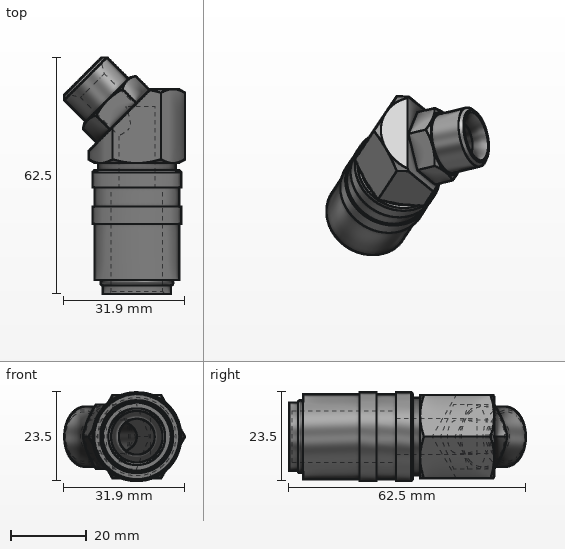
import cadquery as cq
import math

nose_radius = 9.05
nose_end = 2.25
ring_radius = 9.6
ring_round = 0.7
ring_end = 3.7
sleeve_radius = 11.25
band_radius = 11.75
lower_band = (18.5, 23.05)
upper_band_start = 28.1
sleeve_end = 32.7
sleeve_chamfer = 0.55
neck_radius = 10.3

block_start = 34.55
block_end = 54.1
block_flats = 22.05

elbow_y = 43.3
elbow_angle = 45
outlet_hex_start = 5.05
outlet_hex_end = 11.05
outlet_hex_flats = 17.05
outlet_radius = 8.0
outlet_end = 20.05
outlet_chamfer = 0.95

socket_bore_radius = 6.8
socket_bore_depth = upper_band_start
socket_mouth_chamfer = 0.7
inlet_radius = 4.75
inlet_end = 49.55
outlet_bore_radius = 4.45
outlet_mouth_radius = 6.5
outlet_cone_depth = 3.5

hex_chamfer_angle = 30


def rod(radius, start, end):
    """Round bar along Z between two heights."""
    return cq.Workplane("XY").workplane(offset=start).circle(radius).extrude(end - start)


def hex_bar(flats, start, end, chamfer_start):
    """Hexagonal bar along Z, corners on X, with turned chamfers at its end and optionally its start."""
    corner_radius = flats / math.sqrt(3)
    flat_radius = flats / 2
    drop = (corner_radius - flat_radius) * math.tan(math.radians(hex_chamfer_angle))
    bar = cq.Workplane("XY").workplane(offset=start).polygon(6, 2 * corner_radius).extrude(end - start)
    outline = cq.Workplane("XZ").moveTo(0, start)
    if chamfer_start:
        outline = outline.lineTo(flat_radius, start).lineTo(corner_radius, start + drop)
    else:
        outline = outline.lineTo(corner_radius, start)
    outline = outline.lineTo(corner_radius, end - drop).lineTo(flat_radius, end).lineTo(0, end)
    envelope = outline.close().revolve(360, (0, 0), (0, 1))
    return bar.intersect(envelope)


def along_socket(shape):
    """Turn a shape built along +Z so that it runs along +Y."""
    return shape.rotate((0, 0, 0), (1, 0, 0), -90)


def along_outlet(shape):
    """Place a shape built along +Z on the outlet axis."""
    turned = along_socket(shape).rotate((0, 0, 0), (0, 0, 1), elbow_angle)
    return turned.translate((0, elbow_y, 0))


def socket_body():
    body = rod(nose_radius, 0, nose_end)
    body = body.union(rod(ring_radius, nose_end, ring_end).edges().fillet(ring_round))
    body = body.union(rod(sleeve_radius, ring_end, sleeve_end - sleeve_chamfer))
    body = body.union(rod(band_radius, *lower_band))
    upper_band = rod(band_radius, upper_band_start, sleeve_end)
    body = body.union(upper_band.faces(">Z").edges().chamfer(sleeve_chamfer))
    return along_socket(body.union(rod(neck_radius, sleeve_end, block_start)))


def elbow_block():
    block = along_socket(hex_bar(block_flats, block_start, block_end, chamfer_start=True))
    cutter_size = 4 * block_flats
    beyond_outlet_face = cq.Workplane("XY").box(
        cutter_size, cutter_size, cutter_size, centered=(True, True, False)
    ).translate((0, 0, outlet_hex_start))
    return block.cut(along_outlet(beyond_outlet_face))


def outlet_body():
    hexagon = hex_bar(outlet_hex_flats, outlet_hex_start, outlet_hex_end, chamfer_start=False)
    pipe = rod(outlet_radius, outlet_hex_start, outlet_end)
    pipe = pipe.faces(">Z").edges().chamfer(outlet_chamfer)
    return along_outlet(hexagon.union(pipe))


def socket_bore():
    bore = rod(socket_bore_radius, 0, socket_bore_depth)
    mouth = (
        cq.Workplane("XY").circle(socket_bore_radius + socket_mouth_chamfer)
        .workplane(offset=socket_mouth_chamfer).circle(socket_bore_radius).loft()
    )
    return along_socket(bore.union(mouth).union(rod(inlet_radius, socket_bore_depth, inlet_end)))


def outlet_bore():
    bore = rod(outlet_bore_radius, 0, outlet_end)
    mouth = (
        cq.Workplane("XY").workplane(offset=outlet_end - outlet_cone_depth).circle(outlet_bore_radius)
        .workplane(offset=outlet_cone_depth).circle(outlet_mouth_radius).loft()
    )
    return along_outlet(bore.union(mouth))


solid_body = socket_body().union(elbow_block()).union(outlet_body())
result = solid_body.cut(socket_bore()).cut(outlet_bore())